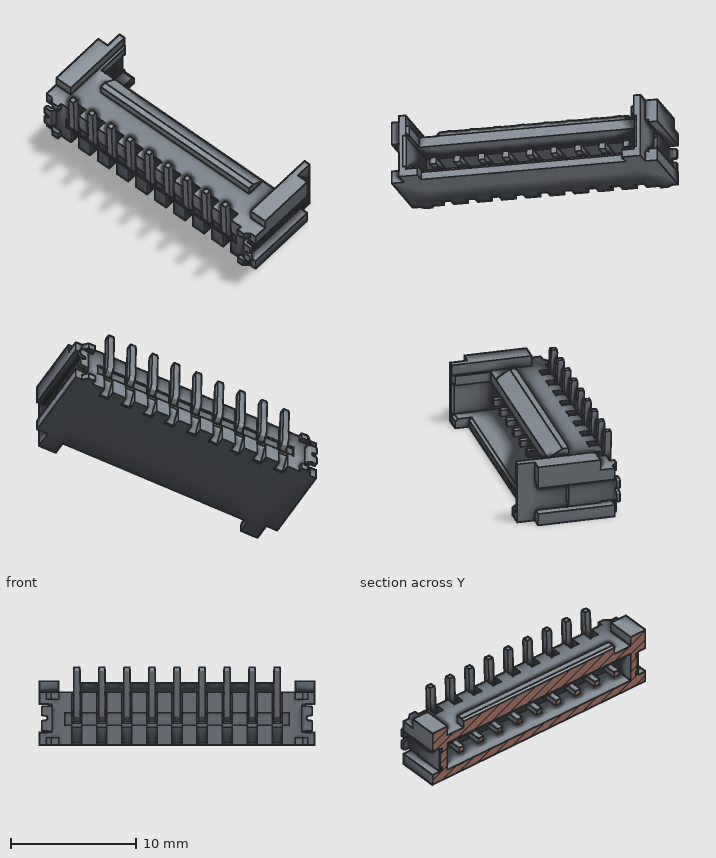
import cadquery as cq
import math

length = 22.0
front_y = 0.48
mouth_y = 8.3
body_height = 4.25
contact_z = 2.15
core_half = 10.0
flange_end_y = 6.85

channel_bottom = 1.01
channel_top = 3.28
clip_slot_depth = 0.22
slot_bottom = channel_bottom - clip_slot_depth
slot_top = channel_top + clip_slot_depth

block_half_in = 9.45
block_front_y = 1.67
block_top = 5.13

cavity_half = 9.45
cavity_back_y = 1.98
wall = 0.81
cavity_top = body_height - wall
top_cut_half = 9.2
top_cut_y = 5.13
floor_cut_half = 8.47
floor_cut_y = 7.15
lead_in_depth = 0.22

ridge_half = 7.8
ridge_front_y = 3.4
ridge_crest_y = 3.94
ridge_top = 4.97

pin_count = 9
pitch = 2.0
pin_size = 0.53
pin_top = 6.23
pin_inner_y = 5.28
bend_inner = 0.22
tilt = math.radians(2)
tip_height = 0.26
tip_inset = 0.05
half_pin = pin_size / 2
half_tip = half_pin - tip_inset

slot_width = 0.81
slot_depth = 0.84
recess_depth = 0.15
slot_y = front_y + slot_depth
recess_y = front_y + recess_depth
slot_land = 0.2
slot_ramp_bottom = 1.43
slot_ramp_top = 2.73
hole_height = 0.8
recess_half = 8.98
recess_bottom = 1.6
recess_top = 2.6

foot_front_y = 0.09
foot_outer = 10.45
foot_flat_outer = 10.03
foot_inner = 9.45
foot_height = 0.6

clip_inner = 9.99
clip_thick = 0.29
clip_outer = clip_inner + clip_thick
clip_bend = 0.35
clip_tip = 10.82
clip_end_y = 4.11
clip_corner_end_y = 4.25
clip_bottom = 1.12
clip_top = 3.12
clip_narrow_y = 1.36
clip_wide_y = 1.5
clip_corner = 0.18
clip_notch_radius = 0.18
clip_notch_end = 10.36
bevel_bottom = 1.36
bevel_top = 2.85

pin_xs = [(i - (pin_count - 1) / 2) * pitch for i in range(pin_count)]


def box(x0, x1, y0, y1, z0, z1):
    return cq.Workplane("XY").box(x1 - x0, y1 - y0, z1 - z0, centered=False).translate((x0, y0, z0))


def wide_box(half, y0, y1, z0, z1):
    """Box centred on x = 0."""
    return box(-half, half, y0, y1, z0, z1)


def profile_x(points, x0, x1):
    """Closed (y, z) outline extruded from x0 to x1."""
    return cq.Workplane("YZ").polyline(points).close().extrude(x1 - x0).translate((x0, 0, 0))


def profile_z(points, z0, z1):
    """Closed (x, y) outline extruded from z0 to z1."""
    return cq.Workplane("XY").polyline(points).close().extrude(z1 - z0).translate((0, 0, z0))


def both_sides(shape):
    return shape.union(shape.mirror("YZ"))


def housing():
    body = wide_box(core_half, front_y, mouth_y, 0, body_height)
    body = body.union(wide_box(length / 2, front_y, flange_end_y, 0, body_height))
    block = box(block_half_in, length / 2, block_front_y, flange_end_y, 0, block_top)
    block = block.union(box(block_half_in, core_half, block_front_y, mouth_y, 0, block_top))
    body = body.union(both_sides(block))
    channel = box(core_half, length / 2, front_y, flange_end_y, channel_bottom, channel_top)
    clip_slot = box(core_half, clip_outer, clip_wide_y, flange_end_y, slot_bottom, slot_top)
    return body.cut(both_sides(channel.union(clip_slot)))


def mouth():
    """Cavity, mouth openings in the top and bottom walls, and lead-ins."""
    cut = wide_box(cavity_half, cavity_back_y, mouth_y, wall, cavity_top)
    cut = cut.union(wide_box(top_cut_half, top_cut_y, mouth_y, wall, body_height))
    cut = cut.union(wide_box(floor_cut_half, floor_cut_y, mouth_y, 0, wall))
    lip = [
        (top_cut_half, mouth_y - lead_in_depth),
        (top_cut_half, mouth_y),
        (cavity_half, mouth_y),
    ]
    cut = cut.union(both_sides(profile_z(lip, wall, body_height)))
    side = [
        (cavity_half, mouth_y - lead_in_depth),
        (cavity_half, mouth_y),
        (cavity_half + lead_in_depth, mouth_y),
    ]
    cut = cut.union(both_sides(profile_z(side, wall, cavity_top)))
    ceiling = [
        (mouth_y - lead_in_depth, cavity_top),
        (mouth_y, cavity_top),
        (mouth_y, cavity_top + lead_in_depth),
    ]
    cut = cut.union(profile_x(ceiling, -cavity_half, cavity_half))
    for edge_y, half in ((mouth_y, cavity_half), (floor_cut_y, floor_cut_half)):
        floor = [
            (edge_y - lead_in_depth, wall),
            (edge_y, wall),
            (edge_y, wall - lead_in_depth),
        ]
        cut = cut.union(profile_x(floor, -half, half))
    return cut


def ridge():
    outline = [
        (ridge_front_y, body_height),
        (ridge_front_y, ridge_top),
        (ridge_crest_y, ridge_top),
        (top_cut_y, body_height),
    ]
    return profile_x(outline, -ridge_half, ridge_half)


def contact_slot(x):
    """Slot down the front wall, ramping deeper to top and bottom, with a flared pin hole."""
    outline = [
        (front_y, 0),
        (slot_y, 0),
        (slot_y, slot_land),
        (recess_y, slot_ramp_bottom),
        (recess_y, slot_ramp_top),
        (slot_y, body_height - slot_land),
        (slot_y, body_height),
        (front_y, body_height),
    ]
    slot = profile_x(outline, x - slot_width / 2, x + slot_width / 2)
    flare = (slot_width - pin_size) / 2
    hole = (
        cq.Workplane("XZ", origin=(x, recess_y, contact_z))
        .rect(slot_width, hole_height)
        .workplane(offset=-flare)
        .rect(pin_size, pin_size)
        .loft()
    )
    return slot.union(hole)


def pin(x):
    """Bent contact: level inside the cavity, then up the front wall with a slight outward lean."""
    bend_mid = bend_inner + half_pin
    lean = math.sin(tilt)
    rise = math.cos(tilt)
    shaft_end = (half_pin * rise, pin_top - tip_height * rise - half_tip * lean)
    centre_z = contact_z + bend_mid
    turn = math.pi / 2 - tilt
    leg = (shaft_end[1] - centre_z + bend_mid * lean) / rise
    bend_end = (shaft_end[0] + leg * lean, shaft_end[1] - leg * rise)
    centre_y = bend_end[0] + bend_mid * rise
    bend_middle = (
        centre_y - bend_mid * math.sin(turn / 2),
        centre_z - bend_mid * math.cos(turn / 2),
    )
    path = (
        cq.Workplane("YZ", origin=(x, 0, 0))
        .moveTo(pin_inner_y, contact_z)
        .lineTo(centre_y, contact_z)
        .threePointArc(bend_middle, bend_end)
        .lineTo(*shaft_end)
    )
    shaft = cq.Workplane("XZ", origin=(x, pin_inner_y, contact_z)).rect(pin_size, pin_size).sweep(path)
    tip_base = cq.Plane(origin=(x, *shaft_end), xDir=(1, 0, 0), normal=(0, -lean, rise))
    tip = (
        cq.Workplane(tip_base)
        .rect(pin_size, pin_size)
        .workplane(offset=tip_height)
        .rect(2 * half_tip, 2 * half_tip)
        .loft()
    )
    return shaft.union(tip)


def foot(z0):
    outline = [
        (foot_outer, front_y),
        (foot_flat_outer, foot_front_y),
        (foot_inner, foot_front_y),
        (foot_inner, front_y),
    ]
    return profile_z(outline, z0, z0 + foot_height)


def clip():
    """Flat strip lying in the side channel, bent outward into a forked solder tab at the front."""
    inner_radius = clip_bend - clip_thick
    strip = (
        cq.Workplane("XY", origin=(0, 0, clip_bottom))
        .moveTo(clip_inner, clip_end_y)
        .lineTo(clip_inner, clip_bend)
        .radiusArc((clip_inner + clip_bend, 0), -clip_bend)
        .lineTo(clip_tip, 0)
        .lineTo(clip_tip, clip_thick)
        .lineTo(clip_outer + inner_radius, clip_thick)
        .radiusArc((clip_outer, clip_bend), inner_radius)
        .lineTo(clip_outer, clip_end_y)
        .close()
        .extrude(clip_top - clip_bottom)
    )
    notch_centre = clip_notch_end + clip_notch_radius
    notch_low = contact_z - clip_notch_radius
    notch_high = contact_z + clip_notch_radius
    notch = box(notch_centre, clip_tip, 0, clip_thick, notch_low, notch_high)
    notch_end = (
        cq.Workplane("XZ", origin=(notch_centre, 0, contact_z))
        .circle(clip_notch_radius)
        .extrude(-clip_thick)
    )
    strip = strip.cut(notch.union(notch_end)).edges("|Y and >X").fillet(clip_corner)
    wide_part = [
        (clip_narrow_y, clip_bottom),
        (clip_wide_y, channel_bottom),
        (clip_wide_y, slot_bottom),
        (clip_corner_end_y, slot_bottom),
        (clip_corner_end_y, channel_bottom),
        (clip_end_y, clip_bottom),
        (clip_end_y, clip_top),
        (clip_corner_end_y, channel_top),
        (clip_corner_end_y, slot_top),
        (clip_wide_y, slot_top),
        (clip_wide_y, channel_top),
        (clip_narrow_y, clip_top),
    ]
    bevel = [
        (clip_outer, clip_end_y),
        (clip_inner, clip_end_y),
        (clip_inner, clip_corner_end_y),
    ]
    strip = strip.union(profile_x(wide_part, clip_inner, clip_outer))
    return strip.union(profile_z(bevel, bevel_bottom, bevel_top))


result = housing().cut(mouth()).union(ridge())
result = result.cut(wide_box(recess_half, front_y, recess_y, recess_bottom, recess_top))
for x in pin_xs:
    result = result.cut(contact_slot(x))
for x in pin_xs:
    result = result.union(pin(x))
for z0 in (0, body_height - foot_height):
    result = result.union(both_sides(foot(z0)))
result = result.union(both_sides(clip()))